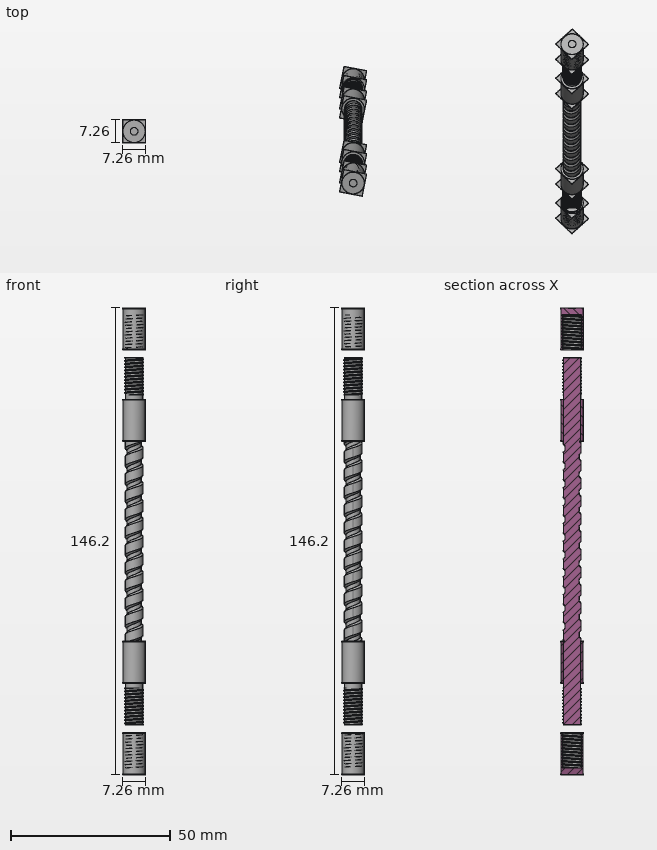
import cadquery as cq
import math

total_length = 146.21
sleeve_length = 13.21
collar_spacing = 62.54
stud_length = 13.0

sleeve_radius = 3.5
plate_side = 7.265
plate_thickness = 0.2
plate_inset = 0.1
recess_radius = 1.2
recess_depth = 0.1

worm_radius = 2.8
groove_floor_radius = 2.25
worm_pitch = 5.57
groove_floor_width = 1.3
groove_mouth_width = 2.6
groove_height = 2.76

journal_radius = 2.75
neck_length = 1.4
thread_crest_radius = 3.0
thread_pitch = 1.0
thread_base_width = 0.45
thread_crest_width = 0.1
thread_clearance = 0.15
cap_bore_depth = 11.0

band_overlap = 0.1

collar_bottom = collar_spacing / 2
collar_top = collar_bottom + sleeve_length
stud_end = collar_top + stud_length
cap_bottom = total_length / 2 - sleeve_length


def cylinder(radius, bottom, top):
    return cq.Workplane("XY").workplane(offset=bottom).circle(radius).extrude(top - bottom)


def helical_band(base_radius, tip_radius, base_width, tip_width, pitch, bottom, top, crossing=0.0):
    """Right-handed band of trapezoidal section, trimmed flat at bottom and top.

    It tapers from the shaft surface at base_radius outward for a ridge or inward
    for a groove, and its flanks run a little past the base so that it overlaps the
    surface. It crosses the +X side at the height given by crossing.
    """
    start = bottom - pitch
    height = top - bottom + 2 * pitch
    depth = abs(tip_radius - base_radius)
    stretch = 1 + band_overlap / depth
    far_radius = tip_radius + stretch * (base_radius - tip_radius)
    far_half = (tip_width + stretch * (base_width - tip_width)) / 2
    tip_half = tip_width / 2
    corners = [
        (far_radius, -far_half),
        (tip_radius, -tip_half),
        (tip_radius, tip_half),
        (far_radius, far_half),
    ]

    def end_face(rise):
        angle = 2 * math.pi * rise / pitch
        points = [cq.Vector(r * math.cos(angle), r * math.sin(angle), z + rise) for r, z in corners]
        return cq.Face.makeFromWires(cq.Wire.makePolygon(points, close=True))

    helices = [cq.Wire.makeHelix(pitch, height, r, center=cq.Vector(0, 0, z)) for r, z in corners]
    faces = [end_face(0), end_face(height)]
    for helix, next_helix in zip(helices, helices[1:] + helices[:1]):
        faces.append(cq.Face.makeRuledSurface(helix, next_helix))
    solid = cq.Solid.makeSolid(cq.Shell.makeShell(faces))
    band = (
        cq.Workplane(solid)
        .rotate((0, 0, 0), (0, 0, 1), 360 * (start - crossing) / pitch)
        .translate((0, 0, start))
    )
    return band.intersect(cylinder(2 * max(base_radius, tip_radius), bottom, top))


def turned_over(body):
    """Copy of a body for the lower end, turned half a turn about Y."""
    return body.rotate((0, 0, 0), (0, 1, 0), 180)


def fine_thread(play, bottom, top):
    return helical_band(
        journal_radius + play,
        thread_crest_radius + play,
        thread_base_width,
        thread_crest_width,
        thread_pitch,
        bottom,
        top,
    )


def plated_sleeve(bottom):
    """Solid round sleeve with a thin square plate close to each end."""
    top = bottom + sleeve_length
    sleeve = cylinder(sleeve_radius, bottom, top)
    for plate_bottom in (bottom + plate_inset, top - plate_inset - plate_thickness):
        plate = (
            cq.Workplane("XY")
            .workplane(offset=plate_bottom)
            .rect(plate_side, plate_side)
            .extrude(plate_thickness)
        )
        sleeve = sleeve.union(plate)
    return sleeve


def make_stud():
    """Upper rod end: journal through the collar, plain neck and threaded tip."""
    shaft = cylinder(journal_radius, collar_bottom, stud_end)
    return shaft.union(fine_thread(0, collar_top + neck_length, stud_end))


def make_rod():
    worm = cylinder(worm_radius, -collar_bottom, collar_bottom)
    groove = helical_band(
        worm_radius,
        groove_floor_radius,
        groove_mouth_width,
        groove_floor_width,
        worm_pitch,
        -collar_bottom,
        collar_bottom,
        groove_height,
    )
    stud = make_stud()
    return worm.cut(groove).union(stud).union(turned_over(stud))


def make_collar():
    """Plated sleeve bored to fit the rod journal."""
    return plated_sleeve(collar_bottom).cut(cylinder(journal_radius, collar_bottom, collar_top))


def make_cap():
    """Plated sleeve with a blind threaded bore below and a shallow recess on top."""
    bore_top = cap_bottom + cap_bore_depth
    cap_top = cap_bottom + sleeve_length
    cap = plated_sleeve(cap_bottom)
    cap = cap.cut(cylinder(journal_radius + thread_clearance, cap_bottom, bore_top))
    cap = cap.cut(fine_thread(thread_clearance, cap_bottom, bore_top))
    return cap.cut(cylinder(recess_radius, cap_top - recess_depth, cap_top))


rod = make_rod()
solids = [rod.val()]
for upper_body in (make_collar(), make_cap()):
    solids.append(upper_body.val())
    solids.append(turned_over(upper_body).val())

result = cq.Compound.makeCompound(solids)